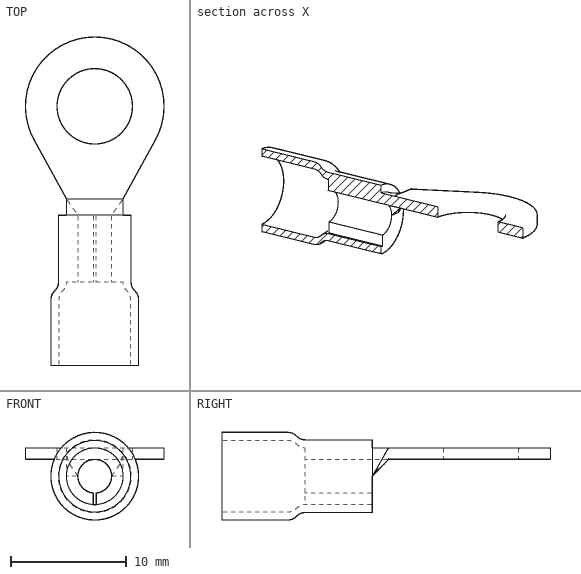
import cadquery as cq
import math


ring_radius = 6.0
stud_hole_diameter = 6.5
metal_thickness = 1.0
edge_fillet = 0.1
total_length = 28.4
tongue_start = 14.4
ring_center_y = total_length - ring_radius

barrel_outer_radius = 2.45
barrel_inner_radius = barrel_outer_radius - metal_thickness
seam_width = 0.25

sleeve_length = 13.0
entry_length = 5.7
shoulder_length = 1.5
shoulder_end = entry_length + shoulder_length
entry_outer_radius = 3.8
entry_inner_radius = 3.1
grip_outer_radius = 3.15
grip_inner_radius = barrel_outer_radius

tongue_top = barrel_outer_radius
tongue_bottom = tongue_top - metal_thickness
tongue_half_width = barrel_outer_radius


def revolved_body(entry_radius, grip_radius):
    """Solid of revolution about Y: wide entry, S-curved shoulder, narrow grip."""
    middle = ((entry_radius + grip_radius) / 2, entry_length + shoulder_length / 2)
    return (
        cq.Workplane("XY")
        .lineTo(entry_radius, 0)
        .lineTo(entry_radius, entry_length)
        .tangentArcPoint(middle, relative=False)
        .tangentArcPoint((grip_radius, shoulder_end), relative=False)
        .lineTo(grip_radius, sleeve_length)
        .lineTo(0, sleeve_length)
        .close()
        .revolve(360, (0, 0, 0), (0, 1, 0))
    )


def make_sleeve():
    outside = revolved_body(entry_outer_radius, grip_outer_radius)
    bore = revolved_body(entry_inner_radius, grip_inner_radius)
    return outside.cut(bore)


def make_barrel():
    """Tube inside the narrow part of the sleeve, with an open seam at the bottom."""
    barrel_length = sleeve_length - shoulder_end
    tube = (
        cq.Workplane("XZ", origin=(0, shoulder_end, 0))
        .circle(barrel_outer_radius)
        .circle(barrel_inner_radius)
        .extrude(-barrel_length)
    )
    seam = (
        cq.Workplane("XY", origin=(0, shoulder_end, -barrel_outer_radius))
        .box(seam_width, barrel_length, barrel_outer_radius, centered=(True, False, False))
    )
    return tube.cut(seam)


def make_neck():
    """Ruled transition from the upper half of the barrel wall to the flat tongue section."""
    half_ring = (
        cq.Workplane("XZ", origin=(0, sleeve_length, 0))
        .moveTo(-barrel_outer_radius, 0)
        .threePointArc((0, barrel_outer_radius), (barrel_outer_radius, 0))
        .lineTo(barrel_inner_radius, 0)
        .threePointArc((0, barrel_inner_radius), (-barrel_inner_radius, 0))
        .close()
        .val()
    )
    flat = (
        cq.Workplane("XZ", origin=(0, tongue_start, 0))
        .moveTo(-tongue_half_width, tongue_top)
        .lineTo(tongue_half_width, tongue_top)
        .lineTo(tongue_half_width, tongue_bottom)
        .lineTo(-tongue_half_width, tongue_bottom)
        .close()
        .val()
    )
    end_faces = [cq.Face.makeFromWires(half_ring), cq.Face.makeFromWires(flat)]
    side_faces = [
        cq.Face.makeRuledSurface(ring_edge, flat_edge)
        for ring_edge, flat_edge in zip(half_ring.Edges(), flat.Edges())
    ]
    return cq.Workplane(cq.Solid.makeSolid(cq.Shell.makeShell(end_faces + side_faces)))


def make_tongue():
    """Ring whose sides run tangentially down to the width of the neck."""
    drop = ring_center_y - tongue_start
    corner_distance = math.hypot(tongue_half_width, drop)
    corner_angle = math.atan2(-drop, tongue_half_width)
    tangent_angle = corner_angle + math.acos(ring_radius / corner_distance)
    tangent_x = ring_radius * math.cos(tangent_angle)
    tangent_y = ring_center_y + ring_radius * math.sin(tangent_angle)

    plate = (
        cq.Workplane("XY", origin=(0, 0, tongue_bottom))
        .moveTo(-tongue_half_width, tongue_start)
        .lineTo(tongue_half_width, tongue_start)
        .lineTo(tangent_x, tangent_y)
        .threePointArc((0, total_length), (-tangent_x, tangent_y))
        .close()
        .extrude(metal_thickness)
    )
    stud_hole = (
        cq.Workplane("XY", origin=(0, ring_center_y, tongue_bottom))
        .circle(stud_hole_diameter / 2)
        .extrude(metal_thickness)
    )
    return plate.cut(stud_hole).faces("|Z").edges("not |X").fillet(edge_fillet)


result = make_sleeve().union(make_barrel()).union(make_neck()).union(make_tongue())